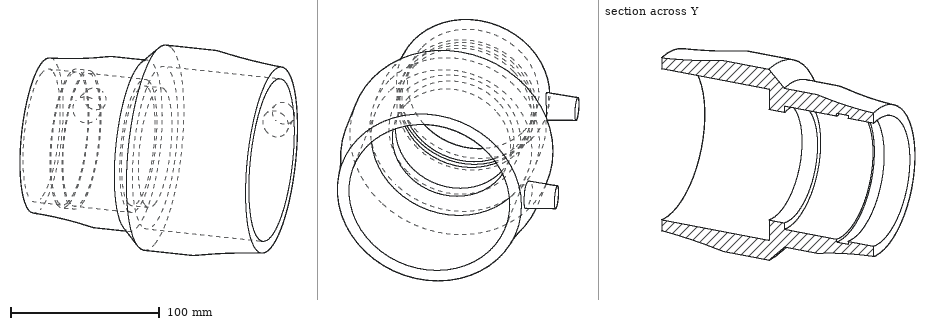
import cadquery as cq

small_taper_end = 43.0
small_barrel_end = 67.7
large_barrel_start = 79.5
large_barrel_end = 114.0
length = 161.0

small_mouth_diameter = 105.0
small_barrel_diameter = 116.0
large_barrel_diameter = 139.0
large_mouth_diameter = 126.0
small_taper_sag = 0.9
large_taper_sag = 0.7

bore_diameter = 81.0
small_socket_diameter = 90.0
small_socket_end = small_barrel_end
large_socket_diameter = 110.0
large_socket_start = large_barrel_start

groove_depth = 2.0
groove_start = 19.5
groove_end = 28.0

shroud_top_diameter = 15.6
shroud_base_diameter = 19.4
shroud_height = 25.0
shroud_inset = 16.0
small_shroud_x = shroud_inset
small_shroud_top = 74.0
large_shroud_x = length - shroud_inset
large_shroud_top = 84.0


def taper_middle(start, end, sag):
    """Middle point of a taper profile, sunk below its chord."""
    return ((start[0] + end[0]) / 2, (start[1] + end[1]) / 2 - sag)


def make_body():
    """Outer reducer shape, turned about the X axis."""
    small_mouth = (0, small_mouth_diameter / 2)
    small_barrel = (small_taper_end, small_barrel_diameter / 2)
    large_barrel = (large_barrel_end, large_barrel_diameter / 2)
    large_mouth = (length, large_mouth_diameter / 2)
    return (
        cq.Workplane("XY")
        .lineTo(*small_mouth)
        .threePointArc(taper_middle(small_mouth, small_barrel, small_taper_sag), small_barrel)
        .lineTo(small_barrel_end, small_barrel_diameter / 2)
        .lineTo(large_barrel_start, large_barrel_diameter / 2)
        .lineTo(*large_barrel)
        .threePointArc(taper_middle(large_barrel, large_mouth, large_taper_sag), large_mouth)
        .lineTo(length, 0)
        .close()
        .revolve(360, (0, 0, 0), (1, 0, 0))
    )


def axial_cylinder(diameter, start, end):
    """Cylinder on the X axis between two stations."""
    return cq.Workplane("YZ", origin=(start, 0, 0)).circle(diameter / 2).extrude(end - start)


def make_shroud(x, top):
    """Tapered shroud pointing along +Y, widening down into the body wall."""
    return (
        cq.Workplane("XZ", origin=(x, top, 0))
        .circle(shroud_top_diameter / 2)
        .workplane(offset=shroud_height)
        .circle(shroud_base_diameter / 2)
        .loft()
    )


def make_cavity():
    """Through bore with a pipe socket at each end and the ring groove."""
    bore = axial_cylinder(bore_diameter, 0, length)
    small_socket = axial_cylinder(small_socket_diameter, 0, small_socket_end)
    large_socket = axial_cylinder(large_socket_diameter, large_socket_start, length)
    groove = axial_cylinder(small_socket_diameter + 2 * groove_depth, groove_start, groove_end)
    return bore.union(small_socket).union(large_socket).union(groove)


result = (
    make_body()
    .union(make_shroud(small_shroud_x, small_shroud_top))
    .union(make_shroud(large_shroud_x, large_shroud_top))
    .cut(make_cavity())
)